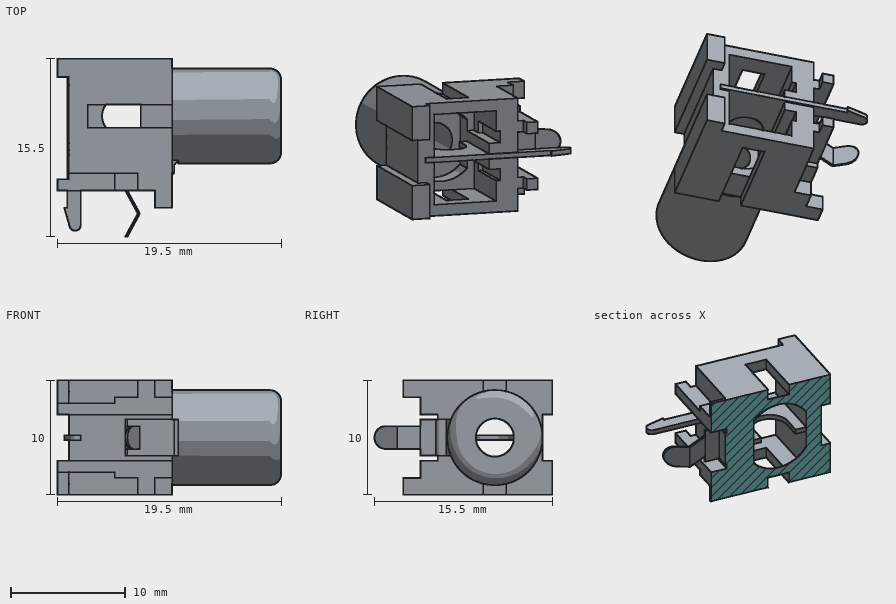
import cadquery as cq
import math


housing_rear = 1.0
housing_front = 10.0
housing_half = 5.0
channel_half = 2.0
channel_floor_y = 4.15
arm_inner_y = 3.38

rail_bottom = -6.5
rail_end_top = -5.5
rail_outer_z = 3.0
rail_step_x = 5.0
rail_step_z = 3.5
rail_block_x = 7.0
foot_rear_x = 8.5
foot_bottom = -8.0

cavity_front = 7.25
cavity_top_y = 2.68
cavity_bottom_y = -3.0
cavity_half_z = 4.0
rib_y = -2.36
rib_half_z = 1.16
notch_bottom_y = -3.38
notch_outer_z = 2.19
notch_front = 6.0
window_rear = 2.63
window_half_y = 1.0
recess_radius = 3.2
recess_depth = 2.0
bore_radius = 1.65

barrel_front = 19.5
barrel_radius = 4.15
barrel_round = 1.0

plate_thickness = 0.44
plate_rear = 0.84
plate_top = 3.5
fork_center_x = 5.55
pin_front = 2.04
pin_bottom = -10.0
pin_tip_radius = 0.5
barb_x = 0.58
barb_y = -7.97

clip_thickness = 0.18
clip_half_z = 1.58
clip_strip_thickness = 0.15
clip_rear = 5.92
clip_bend_radius = 0.33
hook_bend_y = -4.25
hook_slot_front = 10.53
hook_slot_floor_y = -3.84
spring_half_z = 1.0
spring_knee_x = 7.18
spring_knee_y = -8.5
spring_bottom = -10.5
spring_width_x = 0.18


def box(x0, x1, y0, y1, z0, z1):
    return cq.Workplane("XY").box(x1 - x0, y1 - y0, z1 - z0, centered=False).translate((x0, y0, z0))


def mirrored(solid):
    """The solid together with its mirror image in the plane Z = 0."""
    return solid.union(solid.mirror("XY"))


def extrude_z(outline, half_width):
    """Closed XY outline extruded evenly to both sides of Z = 0."""
    return outline.extrude(half_width, both=True)


def make_shell():
    shell = box(housing_rear, housing_front, -housing_half, housing_half, -housing_half, housing_half)
    channel = box(0, housing_front, channel_floor_y, housing_half, -channel_half, channel_half)
    arm = box(0, housing_rear, arm_inner_y, housing_half, channel_half, housing_half)
    return shell.cut(channel).union(mirrored(arm))


def make_rails():
    rail = box(housing_rear, rail_step_x, rail_bottom, -housing_half, channel_half, rail_outer_z)
    rail_end = box(0, housing_rear, rail_bottom, rail_end_top, channel_half, rail_outer_z)
    step = box(rail_step_x, rail_block_x, rail_bottom, -housing_half, channel_half, rail_step_z)
    block = box(rail_block_x, housing_front, rail_bottom, -housing_half, channel_half, housing_half)
    foot = box(foot_rear_x, housing_front, foot_bottom, rail_bottom, rail_step_z, housing_half)
    return mirrored(rail.union(rail_end).union(step).union(block).union(foot))


def make_barrel():
    barrel = cq.Workplane("YZ").workplane(offset=housing_front).circle(barrel_radius)
    barrel = barrel.extrude(barrel_front - housing_front)
    return barrel.faces(">X").edges().fillet(barrel_round)


def make_cavity():
    cavity = box(housing_rear, cavity_front, cavity_bottom_y, cavity_top_y, -cavity_half_z, cavity_half_z)
    rib = box(housing_rear, cavity_front, cavity_bottom_y, rib_y, -rib_half_z, rib_half_z)
    notch = box(housing_rear, notch_front, notch_bottom_y, cavity_bottom_y, rib_half_z, notch_outer_z)
    return cavity.cut(rib).union(mirrored(notch))


def make_windows():
    window = box(window_rear, housing_front, -window_half_y, window_half_y, cavity_half_z, housing_half)
    return mirrored(window)


def make_recess():
    """Round recess in the front wall of the cavity, cut off flat on two sides."""
    recess = cq.Workplane("YZ").workplane(offset=cavity_front).circle(recess_radius).extrude(recess_depth)
    recess_front = cavity_front + recess_depth
    limits = box(cavity_front, recess_front, rib_y, cavity_top_y, -recess_radius, recess_radius)
    return recess.intersect(limits)


def make_bore():
    bore_length = barrel_front - cavity_front
    return cq.Workplane("YZ").workplane(offset=cavity_front).circle(bore_radius).extrude(bore_length)


def make_hook_slot():
    return box(housing_front, hook_slot_front, -barrel_radius, hook_slot_floor_y, -clip_half_z, clip_half_z)


def make_contact_plate():
    half = plate_thickness / 2
    plate = box(plate_rear, cavity_front, -housing_half, plate_top, -half, half)
    fork_gap = box(fork_center_x, cavity_front, -bore_radius, bore_radius, -half, half)
    fork_end = extrude_z(cq.Workplane("XY").center(fork_center_x, 0).circle(bore_radius), half)

    tip_center_y = pin_bottom + pin_tip_radius
    tip_center_x = pin_front - pin_tip_radius
    barb_distance = math.hypot(barb_x - tip_center_x, barb_y - tip_center_y)
    barb_angle = math.atan2(barb_y - tip_center_y, barb_x - tip_center_x)
    tangent_angle = barb_angle + math.acos(pin_tip_radius / barb_distance)
    tangent_x = tip_center_x + pin_tip_radius * math.cos(tangent_angle)
    tangent_y = tip_center_y + pin_tip_radius * math.sin(tangent_angle)
    pin = (
        cq.Workplane("XY")
        .moveTo(plate_rear, -housing_half)
        .lineTo(plate_rear, barb_y)
        .lineTo(barb_x, barb_y)
        .lineTo(tangent_x, tangent_y)
        .threePointArc((tip_center_x, pin_bottom), (pin_front, tip_center_y))
        .lineTo(pin_front, -housing_half)
        .close()
    )
    return plate.cut(fork_gap).cut(fork_end).union(extrude_z(pin, half))


def make_clip_body():
    """Flange, strip along the -Y channel and hook bent at 45 degrees into the slot of the barrel."""
    flange = box(clip_rear, clip_rear + clip_thickness, rail_bottom, -housing_half, -clip_half_z, clip_half_z)
    strip_bottom = -housing_half - clip_strip_thickness
    hook_front = housing_front + clip_thickness
    bend_x = hook_front - clip_bend_radius
    bend_y = strip_bottom + clip_bend_radius
    diagonal = clip_bend_radius * math.sqrt(0.5)
    strip = (
        cq.Workplane("XY")
        .moveTo(clip_rear, -housing_half)
        .lineTo(clip_rear, strip_bottom)
        .lineTo(bend_x, strip_bottom)
        .threePointArc((bend_x + diagonal, bend_y - diagonal), (hook_front, bend_y))
        .lineTo(hook_front, hook_bend_y)
        .lineTo(hook_slot_front, hook_bend_y + hook_slot_front - hook_front)
        .lineTo(hook_slot_front, hook_slot_floor_y)
        .lineTo(housing_front, hook_slot_floor_y)
        .lineTo(housing_front, -housing_half)
        .close()
    )
    return flange.union(extrude_z(strip, clip_half_z))


def make_clip_spring():
    """Bent spring tongue below the flange, with a rounded free end."""
    spring = (
        cq.Workplane("XY")
        .moveTo(clip_rear, rail_bottom)
        .lineTo(spring_knee_x - spring_width_x, spring_knee_y)
        .lineTo(clip_rear, spring_bottom)
        .lineTo(clip_rear + spring_width_x, spring_bottom)
        .lineTo(spring_knee_x, spring_knee_y)
        .lineTo(clip_rear + spring_width_x, rail_bottom)
        .close()
    )
    spring = extrude_z(spring, spring_half_z)
    tip_start = spring_bottom + spring_half_z
    outline = (
        cq.Workplane("YZ")
        .moveTo(rail_bottom, -spring_half_z)
        .lineTo(tip_start, -spring_half_z)
        .threePointArc((spring_bottom, 0), (tip_start, spring_half_z))
        .lineTo(rail_bottom, spring_half_z)
        .close()
        .extrude(housing_front)
    )
    return spring.intersect(outline)


housing = make_shell().union(make_rails()).union(make_barrel())
housing = housing.cut(make_cavity()).cut(make_windows()).cut(make_recess()).cut(make_bore())
housing = housing.cut(make_hook_slot())
result = housing.union(make_contact_plate()).union(make_clip_body()).union(make_clip_spring())